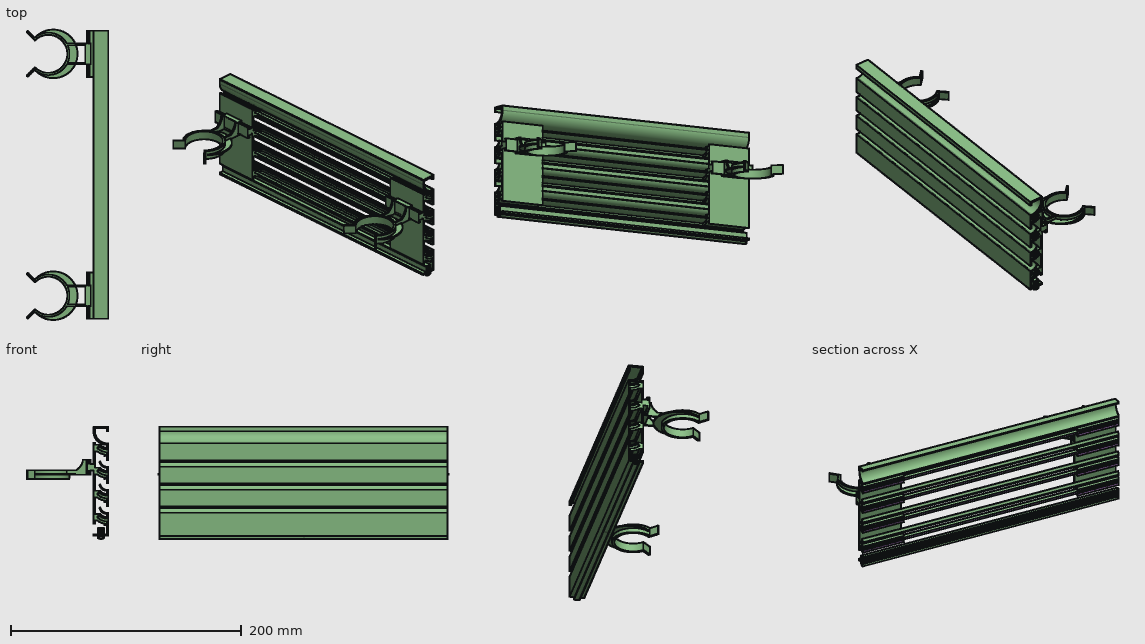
import cadquery as cq
import math


PANEL_LENGTH = 250.0
PANEL_DEPTH = 13.0
WALL = 1.5
EDGE_CHAMFER = 0.5
SLAT_COUNT = 4
SLAT_SPAN = 60.0
SLAT_PITCH = SLAT_SPAN / (SLAT_COUNT - 1)
BACK_X = PANEL_DEPTH - WALL

FIRST_PIVOT_Z = -11.0
SLAT_TOP = -3.8
SLAT_BOTTOM = -18.1
BRACKET_ARC_TOP_R = 7.3
ARM_INNER_R = 8.8
ARM_OUTER_R = 11.0
BRACKET_ARC_BOTTOM_R = 13.4
ARM_TIP_ANGLE = 45
CHANNEL_END_ANGLE = 42
LIP_START = (-6.3, 0.3)
LIP_MIDDLE = (-4.8, -2.5)
LIP_THICKNESS = 1.0
LEDGE_WIDTH = 2.0
LEDGE_TIP_DROP = 1.3
LEDGE_ROOT_DROP = 0.5

GUTTER_ARC_Z = -4.3
GUTTER_LIP_DROP = 4.0

FOOT_BOTTOM_Z = -94.7
CHANNEL_CENTRE_X = PANEL_DEPTH / 2
CHANNEL_WIDTH = 2.5
CHANNEL_TOP_Z = -89.2
SEAL_BOTTOM_Z = -97.5
BULB_WIDTH = 5.5
BULB_HEIGHT = FOOT_BOTTOM_Z - SEAL_BOTTOM_Z
BULB_WALL = 0.5
STEM_TOP_GAP = 0.8
STEM_NECK_WIDTH = 0.8
BARB_COUNT = 3

BRACKET_LENGTH = 40.3
BRACKET_Y = (PANEL_LENGTH - BRACKET_LENGTH) / 2
PLATE_TOP_Z = -14.0
PLATE_BOTTOM_Z = -84.2
BLOCK_TOP = -4.5
BLOCK_BOTTOM = -10.5
RAIL_Z = -35.3
NECK_HEIGHT = 6.0
HEAD_HEIGHT = 10.5
HEAD_FRONT_X = -5.5
HEAD_BACK_X = -4.0
HEAD_BEAK = 0.8

CLIP_BOX_HEIGHT = 13.0
CLIP_BACK_X = -2.3
CLIP_FACE_X = -7.0
CLIP_CAVITY_X = -6.0
CLIP_BOTTOM_Z = RAIL_Z - CLIP_BOX_HEIGHT / 2
CLIP_TOP_Z = RAIL_Z + CLIP_BOX_HEIGHT / 2
CLIP_WIDTH = 18.1
GUSSET_THICKNESS = 1.5
GUSSET_FRONT_X = -9.3
GUSSET_ARC_TOP_Z = -30.5
GUSSET_ARC_MIDDLE = (-11.5, -34.8)
GUSSET_ARC_END_X = -14.9
RING_X = -39.0
RING_INNER_R = 16.5
RING_THICKNESS = 2.0
RING_OUTER_R = RING_INNER_R + RING_THICKNESS
RING_TOP_Z = -37.8
RING_HEIGHT = 7.8
RING_BOTTOM_Z = RING_TOP_Z - RING_HEIGHT
FLANGE_R = 21.2
FLANGE_X = -34.8
FLANGE_THICKNESS = 1.0
WING_ANGLE = 45
WING_TIP_R = 26.7
WING_THICKNESS = 1.5


def pivot_z(index):
    return FIRST_PIVOT_Z - index * SLAT_PITCH


def profile(y=0.0):
    """XZ sketch plane at the given Y; extrusions run to both sides of it."""
    return cq.Workplane("XZ", origin=(0, y, 0))


def bar(x_start, x_end, z_start, z_end, length, y=0.0):
    """Rectangular bar along Y."""
    return profile(y).moveTo(x_start, z_start).lineTo(x_end, z_start).lineTo(x_end, z_end) \
        .lineTo(x_start, z_end).close().extrude(length / 2, both=True)


def pivot_point(index, radius, angle):
    """Point on an arc about a slat's pivot, at an angle below horizontal towards the front."""
    turn = math.radians(angle)
    return (BACK_X - radius * math.cos(turn), pivot_z(index) - radius * math.sin(turn))


def curved_arm(index, tip_angle, length, y=0.0):
    """Arc-shaped arm from the slat's back wall to its tip."""
    middle = (90 + tip_angle) / 2
    return (
        profile(y)
        .moveTo(*pivot_point(index, ARM_INNER_R, 90))
        .threePointArc(pivot_point(index, ARM_INNER_R, middle), pivot_point(index, ARM_INNER_R, tip_angle))
        .lineTo(*pivot_point(index, ARM_OUTER_R, tip_angle))
        .threePointArc(pivot_point(index, ARM_OUTER_R, middle), pivot_point(index, ARM_OUTER_R, 90))
        .close()
        .extrude(length / 2, both=True)
    )


def ledge(index):
    """Small beak on the back wall just below the bracket hook."""
    top = pivot_z(index) - BRACKET_ARC_BOTTOM_R
    return (
        profile()
        .moveTo(BACK_X, top)
        .lineTo(BACK_X - LEDGE_WIDTH, top)
        .lineTo(BACK_X - LEDGE_WIDTH, top - LEDGE_TIP_DROP)
        .lineTo(BACK_X, top - LEDGE_ROOT_DROP)
        .close()
        .extrude(PANEL_LENGTH / 2, both=True)
    )


def front_lip(index):
    """Thin lip that curves forward and up from the top of the back wall."""
    z = pivot_z(index)
    top = z + SLAT_TOP
    shift = LIP_THICKNESS * math.sqrt(0.5)
    start = (BACK_X + LIP_START[0], z + LIP_START[1])
    middle = (BACK_X + LIP_MIDDLE[0], z + LIP_MIDDLE[1])
    return (
        profile()
        .moveTo(*start)
        .threePointArc(middle, (BACK_X, top - LIP_THICKNESS))
        .lineTo(BACK_X, top)
        .threePointArc((middle[0] + shift, middle[1] + shift), (start[0] + shift, start[1] + shift))
        .close()
        .extrude(PANEL_LENGTH / 2, both=True)
    )


def gutter():
    """Roof, short back lip, front wall and quarter-round bottom of the top slat."""
    inner_r = BACK_X - WALL
    diagonal = math.sqrt(0.5)
    return (
        profile()
        .moveTo(PANEL_DEPTH, -GUTTER_LIP_DROP)
        .lineTo(PANEL_DEPTH, 0)
        .lineTo(EDGE_CHAMFER, 0)
        .lineTo(0, -EDGE_CHAMFER)
        .lineTo(0, GUTTER_ARC_Z)
        .threePointArc(
            (BACK_X * (1 - diagonal), GUTTER_ARC_Z - BACK_X * diagonal),
            (BACK_X, GUTTER_ARC_Z - BACK_X),
        )
        .lineTo(BACK_X, GUTTER_ARC_Z - inner_r)
        .threePointArc(
            (BACK_X - inner_r * diagonal, GUTTER_ARC_Z - inner_r * diagonal),
            (WALL, GUTTER_ARC_Z),
        )
        .lineTo(WALL, -WALL)
        .lineTo(BACK_X, -WALL)
        .lineTo(BACK_X, -GUTTER_LIP_DROP)
        .close()
        .extrude(PANEL_LENGTH / 2, both=True)
    )


def seal_foot():
    """Bottom flange with the downward-open channel that holds the seal."""
    half_box = CHANNEL_WIDTH / 2 + WALL
    flange = bar(0, PANEL_DEPTH, FOOT_BOTTOM_Z, FOOT_BOTTOM_Z + WALL, PANEL_LENGTH)
    box = bar(CHANNEL_CENTRE_X - half_box, CHANNEL_CENTRE_X + half_box,
              FOOT_BOTTOM_Z, CHANNEL_TOP_Z + WALL, PANEL_LENGTH)
    box = box.faces(">Z").edges("|Y").chamfer(EDGE_CHAMFER)
    channel = bar(CHANNEL_CENTRE_X - CHANNEL_WIDTH / 2, CHANNEL_CENTRE_X + CHANNEL_WIDTH / 2,
                  FOOT_BOTTOM_Z, CHANNEL_TOP_Z, PANEL_LENGTH)
    return flange.union(box).cut(channel)


def make_slat(index):
    is_top = index == 0
    is_bottom = index == SLAT_COUNT - 1
    z = pivot_z(index)
    wall_top = GUTTER_ARC_Z - (BACK_X - WALL) if is_top else z + SLAT_TOP
    wall_bottom = FOOT_BOTTOM_Z if is_bottom else z + SLAT_BOTTOM
    slat = bar(BACK_X, PANEL_DEPTH, wall_bottom, wall_top, PANEL_LENGTH)
    slat = slat.union(curved_arm(index, ARM_TIP_ANGLE, PANEL_LENGTH)).union(ledge(index))
    slat = slat.union(gutter() if is_top else front_lip(index))
    if is_bottom:
        slat = slat.union(seal_foot())
    return slat


def seal_oval(z, half_width, half_height):
    """Elliptical bar along the panel, under the seal channel."""
    oval = cq.Workplane("XZ", origin=(CHANNEL_CENTRE_X, 0, z)).ellipse(half_width, half_height)
    return oval.extrude(PANEL_LENGTH / 2, both=True)


def make_seal():
    """Hollow bulb under the foot, with a barbed stem in the channel."""
    bulb_z = FOOT_BOTTOM_Z - BULB_HEIGHT / 2
    seal = seal_oval(bulb_z, BULB_WIDTH / 2, BULB_HEIGHT / 2)
    root = bar(CHANNEL_CENTRE_X - CHANNEL_WIDTH / 2, CHANNEL_CENTRE_X + CHANNEL_WIDTH / 2,
               bulb_z, FOOT_BOTTOM_Z, PANEL_LENGTH)
    hollow = seal_oval(bulb_z, BULB_WIDTH / 2 - BULB_WALL, BULB_HEIGHT / 2 - BULB_WALL)
    seal = seal.union(root).cut(hollow)

    barb_height = (CHANNEL_TOP_Z - STEM_TOP_GAP - FOOT_BOTTOM_Z) / BARB_COUNT
    for i in range(BARB_COUNT):
        bottom = FOOT_BOTTOM_Z + i * barb_height
        barb = (
            profile()
            .moveTo(CHANNEL_CENTRE_X - CHANNEL_WIDTH / 2, bottom)
            .lineTo(CHANNEL_CENTRE_X + CHANNEL_WIDTH / 2, bottom)
            .lineTo(CHANNEL_CENTRE_X + STEM_NECK_WIDTH / 2, bottom + barb_height)
            .lineTo(CHANNEL_CENTRE_X - STEM_NECK_WIDTH / 2, bottom + barb_height)
            .close()
            .extrude(PANEL_LENGTH / 2, both=True)
        )
        seal = seal.union(barb)
    return seal


def hook_block(index, y):
    """Block on the back of the plate that ends in a curved hook around a slat arm."""
    z = pivot_z(index)
    top_angle = math.degrees(math.asin(-BLOCK_TOP / BRACKET_ARC_TOP_R))
    bottom_angle = math.degrees(math.asin(-BLOCK_BOTTOM / BRACKET_ARC_BOTTOM_R))
    block = (
        profile(y)
        .moveTo(WALL, z + BLOCK_TOP)
        .lineTo(*pivot_point(index, BRACKET_ARC_TOP_R, top_angle))
        .threePointArc(
            pivot_point(index, BRACKET_ARC_TOP_R, (top_angle + 90) / 2),
            pivot_point(index, BRACKET_ARC_TOP_R, 90),
        )
        .lineTo(*pivot_point(index, BRACKET_ARC_BOTTOM_R, 90))
        .threePointArc(
            pivot_point(index, BRACKET_ARC_BOTTOM_R, (bottom_angle + 90) / 2),
            pivot_point(index, BRACKET_ARC_BOTTOM_R, bottom_angle),
        )
        .lineTo(WALL, z + BLOCK_BOTTOM)
        .close()
        .extrude(BRACKET_LENGTH / 2, both=True)
    )
    return block.cut(curved_arm(index, CHANNEL_END_ANGLE, BRACKET_LENGTH, y))


def rail_head(y, front_x):
    """Head of the T rail, with bevelled points at its back; front_x is its front face."""
    half = HEAD_HEIGHT / 2
    return (
        profile(y)
        .moveTo(front_x, RAIL_Z + half)
        .lineTo(HEAD_BACK_X + HEAD_BEAK, RAIL_Z + half)
        .lineTo(HEAD_BACK_X, RAIL_Z + half - HEAD_BEAK)
        .lineTo(HEAD_BACK_X, RAIL_Z - half + HEAD_BEAK)
        .lineTo(HEAD_BACK_X + HEAD_BEAK, RAIL_Z - half)
        .lineTo(front_x, RAIL_Z - half)
        .close()
        .extrude(BRACKET_LENGTH / 2, both=True)
    )


def rail_neck(y):
    return bar(HEAD_BACK_X, 0, RAIL_Z - NECK_HEIGHT / 2, RAIL_Z + NECK_HEIGHT / 2, BRACKET_LENGTH, y)


def make_bracket(y):
    bracket = bar(0, WALL, PLATE_BOTTOM_Z, PLATE_TOP_Z, BRACKET_LENGTH, y)
    for index in range(SLAT_COUNT):
        bracket = bracket.union(hook_block(index, y))
    return bracket.union(rail_neck(y)).union(rail_head(y, HEAD_FRONT_X))


def disc(x, y, z, radius, height):
    """Upright cylinder standing on height z."""
    return cq.Workplane("XY", origin=(x, y, z)).circle(radius).extrude(height)


def gusset(y):
    """Side plate that joins the ring to the clip's box."""
    return (
        profile(y)
        .moveTo(RING_X, CLIP_BOTTOM_Z)
        .lineTo(CLIP_FACE_X, CLIP_BOTTOM_Z)
        .lineTo(CLIP_FACE_X, CLIP_TOP_Z)
        .lineTo(GUSSET_FRONT_X, CLIP_TOP_Z)
        .lineTo(GUSSET_FRONT_X, GUSSET_ARC_TOP_Z)
        .threePointArc(GUSSET_ARC_MIDDLE, (GUSSET_ARC_END_X, RING_TOP_Z))
        .lineTo(RING_X, RING_TOP_Z)
        .close()
        .extrude(GUSSET_THICKNESS / 2, both=True)
    )


def clip_wing(y, side):
    """Flared wing at one end of the open ring; side is +1 or -1 along Y."""
    wing = (
        cq.Workplane("XY", origin=(RING_X, y, RING_BOTTOM_Z))
        .moveTo(-RING_INNER_R, 0)
        .lineTo(-WING_TIP_R, 0)
        .lineTo(-WING_TIP_R, side * WING_THICKNESS)
        .lineTo(-RING_INNER_R, side * WING_THICKNESS)
        .close()
        .extrude(RING_HEIGHT)
    )
    return wing.rotate((RING_X, y, 0), (RING_X, y, 1), -side * WING_ANGLE)


def ring_opening(y):
    """Wedge that opens the ring towards the front."""
    reach = 2 * FLANGE_R
    spread = reach * math.tan(math.radians(WING_ANGLE))
    return (
        cq.Workplane("XY", origin=(RING_X, y, RING_BOTTOM_Z))
        .lineTo(-reach, spread)
        .lineTo(-reach, -spread)
        .close()
        .extrude(RING_HEIGHT)
    )


def make_clip(y):
    clip = disc(RING_X, y, RING_BOTTOM_Z, RING_OUTER_R, RING_HEIGHT)
    clip = clip.union(disc(FLANGE_X, y, CLIP_BOTTOM_Z, FLANGE_R, FLANGE_THICKNESS))
    clip = clip.union(bar(CLIP_FACE_X, CLIP_BACK_X, CLIP_BOTTOM_Z, CLIP_TOP_Z, CLIP_WIDTH, y))
    gusset_offset = (CLIP_WIDTH - GUSSET_THICKNESS) / 2
    for side in (-1, 1):
        clip = clip.union(gusset(y + side * gusset_offset))
    clip = clip.cut(disc(RING_X, y, RING_BOTTOM_Z, RING_INNER_R, RING_HEIGHT)).cut(ring_opening(y))
    for side in (-1, 1):
        clip = clip.union(clip_wing(y, side))
    slot = bar(HEAD_BACK_X, CLIP_BACK_X, RAIL_Z - NECK_HEIGHT / 2, RAIL_Z + NECK_HEIGHT / 2, CLIP_WIDTH, y)
    return clip.cut(rail_head(y, CLIP_CAVITY_X)).cut(slot)


slats = [make_slat(index) for index in range(SLAT_COUNT)]
seal = make_seal()
brackets = [make_bracket(y) for y in (-BRACKET_Y, BRACKET_Y)]
clips = [make_clip(y) for y in (-BRACKET_Y, BRACKET_Y)]

result = cq.Compound.makeCompound([body.val() for body in [*slats, seal, *brackets, *clips]])